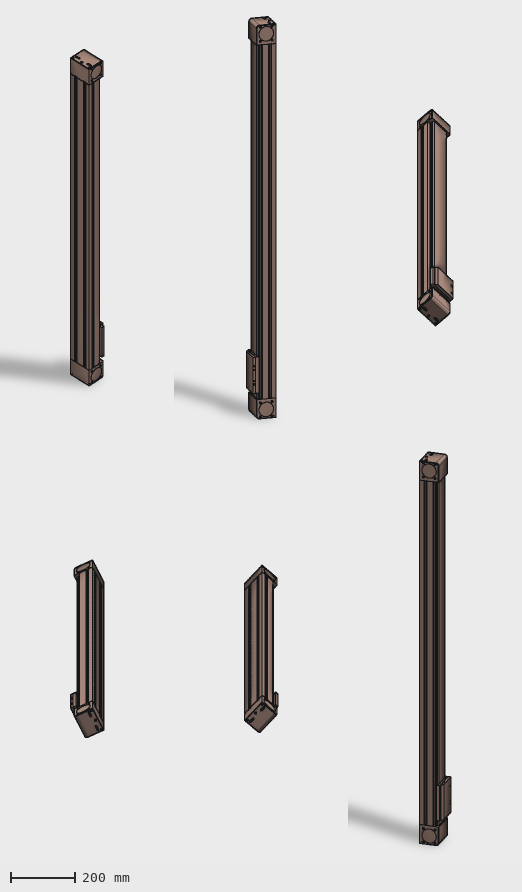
import cadquery as cq

LENGTH = 1286.0
WIDTH = 82.0
TOTAL_DEPTH = 76.0
FRONT = -TOTAL_DEPTH / 2
HALF_WIDTH = WIDTH / 2
SIDES = (-1, 1)
ENDS = (-1, 1)

HEAD_LENGTH = 64.0
HEAD_DEPTH = 64.0
HEAD_CORNER_RADIUS = 10.0
HEAD_SIDE_CHAMFER = 1.9
HEAD_FRONT_CHAMFER = 1.0

END_SLOT_LENGTH = 18.0
END_SLOT_HEIGHT = 5.0
END_SLOT_SPACING = 51.0
END_SLOT_Y = 17.0
END_SLOT_DEPTH = 6.0
CENTRE_HOLE_DIAMETER = 7.0
CENTRE_HOLE_Y = 9.0
CORNER_HOLE_DIAMETER = 5.7
CORNER_HOLE_SPACING = 70.0
CORNER_HOLE_Y = 6.0
END_HOLE_DEPTH = 6.0

COVER_DIAMETER = 48.0
COVER_THICKNESS = 5.0
COVER_Y = 32.0
COVER_FROM_END = 30.0
SCREW_HOLE_DIAMETER = 5.7
SCREW_SPACING_Y = 39.0
SCREW_SPACING_Z = 46.0
SCREW_HOLE_DEPTH = 4.0

PROFILE_DEPTH = 60.0
BASE_DEPTH = 45.0
RAIL_WIDTH = 62.0
RAIL_CHAMFER = 4.0
RAIL_GROOVE_DEPTH = 4.0
RAIL_GROOVE_START_Y = 49.0
RAIL_GROOVE_END_Y = 53.0
SLOT_OPENING = 5.0
SLOT_LIP = 3.0
SLOT_UNDERCUT = 3.0
SLOT_DEPTH = 8.0
FRONT_SLOT_SPACING = 39.0
SIDE_SLOT_Y = 19.0

CARRIAGE_LENGTH = 118.0
CARRIAGE_START = 85.0
CARRIAGE_END = CARRIAGE_START + CARRIAGE_LENGTH
SLIDER_SKIRT_Y = 57.0
PLATE_THICKNESS = 9.0
PLATE_Y = TOTAL_DEPTH - PLATE_THICKNESS
PLATE_WIDTH = 75.0
PLATE_X = (PLATE_WIDTH - WIDTH) / 2
PLATE_CHAMFER = 6.0
PLATE_RECESS_WIDTH = 26.0
PLATE_RECESS_X = 14.0
PLATE_RECESS_HEIGHT = 3.0
PLATE_RECESS_DEPTH = 6.0
PLATE_HOLE_DEPTH = 6.0
PLATE_HOLE_PAIRS = ((5.0, 59.0), (3.2, 36.0))


def box(x_size, y_start, y_end, z_start, z_end, x_centre=0.0):
    """Box centred on x_centre between two depths from the front face and two heights."""
    size_y = y_end - y_start
    block = cq.Workplane("XY").box(x_size, size_y, z_end - z_start, centered=(True, False, False))
    return block.translate((x_centre, FRONT + y_start, z_start))


def side_plane(side, y, z):
    """Workplane on the low-X (-1) or high-X (+1) side face, facing outwards."""
    plane = cq.Plane(origin=(side * HALF_WIDTH, FRONT + y, z), xDir=(0, 1, 0), normal=(side, 0, 0))
    return cq.Workplane(plane)


def t_slot():
    """T-slot of the profile's full length, open towards -Y at the origin."""
    half = SLOT_OPENING / 2
    wide = half + SLOT_UNDERCUT
    outline = [
        (-half, 0),
        (-half, SLOT_LIP),
        (-wide, SLOT_LIP),
        (-wide, SLOT_DEPTH),
        (wide, SLOT_DEPTH),
        (wide, SLOT_LIP),
        (half, SLOT_LIP),
        (half, 0),
    ]
    return cq.Workplane("XY").polyline(outline).close().extrude(LENGTH)


def make_profile():
    """Extrusion between the heads: base, rail, T-slots in front and sides, rail grooves."""
    z_start = HEAD_LENGTH
    z_end = LENGTH - HEAD_LENGTH
    base = box(WIDTH, 0, BASE_DEPTH, z_start, z_end)
    rail = box(RAIL_WIDTH, BASE_DEPTH, PROFILE_DEPTH, z_start, z_end)
    rail = rail.faces(">Y").edges("|Z").chamfer(RAIL_CHAMFER)
    profile = base.union(rail)
    slot = t_slot()
    for side in SIDES:
        profile = profile.cut(slot.translate((side * FRONT_SLOT_SPACING / 2, FRONT, 0)))
        turned_slot = slot.rotate((0, 0, 0), (0, 0, 1), side * 90)
        profile = profile.cut(turned_slot.translate((side * HALF_WIDTH, FRONT + SIDE_SLOT_Y, 0)))
        groove_x = side * (RAIL_WIDTH - RAIL_GROOVE_DEPTH) / 2
        groove = box(RAIL_GROOVE_DEPTH, RAIL_GROOVE_START_Y, RAIL_GROOVE_END_Y, z_start, z_end, groove_x)
        profile = profile.cut(groove)
    return profile


def end_face(y):
    """Workplane on the lower head's outer end face, at a depth from the front face."""
    return cq.Workplane("XY", origin=(0, FRONT + y, 0))


def make_head():
    """Lower head, with its pulley covers' seats."""
    head = box(WIDTH, 0, HEAD_DEPTH, 0, HEAD_LENGTH)
    head = head.edges(">Y and <Z").fillet(HEAD_CORNER_RADIUS)
    head = head.faces(">Y").edges("|Z").chamfer(HEAD_SIDE_CHAMFER)
    head = head.edges("<Y and <Z").chamfer(HEAD_FRONT_CHAMFER)

    slot_centres = [(side * END_SLOT_SPACING / 2, 0) for side in SIDES]
    slots = end_face(END_SLOT_Y).pushPoints(slot_centres)
    head = head.cut(slots.slot2D(END_SLOT_LENGTH, END_SLOT_HEIGHT).extrude(END_SLOT_DEPTH))

    centre_hole = end_face(CENTRE_HOLE_Y).circle(CENTRE_HOLE_DIAMETER / 2)
    head = head.cut(centre_hole.extrude(END_HOLE_DEPTH))
    corner_centres = [(side * CORNER_HOLE_SPACING / 2, 0) for side in SIDES]
    corner_holes = end_face(CORNER_HOLE_Y).pushPoints(corner_centres).circle(CORNER_HOLE_DIAMETER / 2)
    head = head.cut(corner_holes.extrude(END_HOLE_DEPTH))

    for side in SIDES:
        screw_holes = (
            side_plane(side, COVER_Y, COVER_FROM_END)
            .rect(SCREW_SPACING_Y, SCREW_SPACING_Z, forConstruction=True)
            .vertices()
            .circle(SCREW_HOLE_DIAMETER / 2)
            .extrude(-SCREW_HOLE_DEPTH)
        )
        head = head.cut(screw_holes).cut(make_cover(side))
    return head


def make_cover(side):
    """Round pulley cover, flush with one side of the lower head."""
    return side_plane(side, COVER_Y, COVER_FROM_END).circle(COVER_DIAMETER / 2).extrude(-COVER_THICKNESS)


def make_slider():
    """Slider whose skirts reach over both sides of the rail."""
    slider = box(WIDTH, SLIDER_SKIRT_Y, PLATE_Y, CARRIAGE_START, CARRIAGE_END)
    return slider.cut(box(RAIL_WIDTH, SLIDER_SKIRT_Y, PROFILE_DEPTH, CARRIAGE_START, CARRIAGE_END))


def make_plate():
    """Mounting plate with a recess in its upper end and holes in its low-X side."""
    plate = box(PLATE_WIDTH, PLATE_Y, TOTAL_DEPTH, CARRIAGE_START, CARRIAGE_END, PLATE_X)
    plate = plate.edges(">X and >Y").chamfer(PLATE_CHAMFER)
    recess_start = CARRIAGE_END - PLATE_RECESS_DEPTH
    recess_top_y = PLATE_Y + PLATE_RECESS_HEIGHT
    plate = plate.cut(
        box(PLATE_RECESS_WIDTH, PLATE_Y, recess_top_y, recess_start, CARRIAGE_END, PLATE_RECESS_X)
    )
    middle_y = PLATE_Y + PLATE_THICKNESS / 2
    middle_z = CARRIAGE_START + CARRIAGE_LENGTH / 2
    for diameter, spacing in PLATE_HOLE_PAIRS:
        hole_centres = [(0, end * spacing / 2) for end in ENDS]
        holes = side_plane(-1, middle_y, middle_z).pushPoints(hole_centres).circle(diameter / 2)
        plate = plate.cut(holes.extrude(-PLATE_HOLE_DEPTH))
    return plate


def at_upper_end(body):
    """Mirror image of a lower-end body at the upper end."""
    return body.mirror("XY", (0, 0, LENGTH / 2))


profile = make_profile()
lower_head = make_head()
heads = [lower_head, at_upper_end(lower_head)]
covers = []
for side in SIDES:
    lower_cover = make_cover(side)
    covers += [lower_cover, at_upper_end(lower_cover)]
slider = make_slider()
plate = make_plate()

bodies = [profile, *heads, *covers, slider, plate]
result = cq.Compound.makeCompound([body.solids().val() for body in bodies])